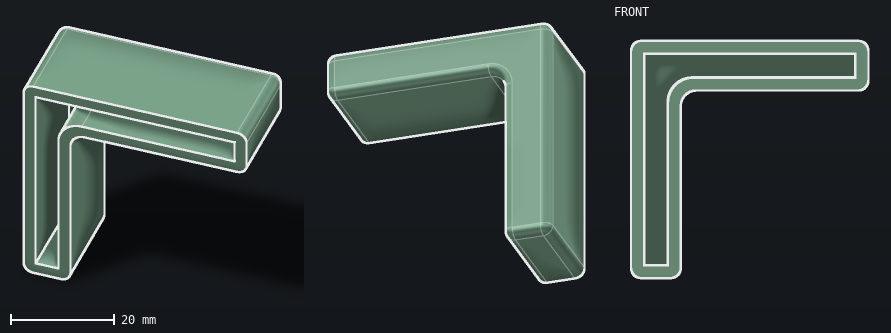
import cadquery as cq
leg_length = 46.0
leg_width = 9.65
depth = 21.0

wall = 2.5
draft_angle = 0.13
cavity_draft_angle = 0.36
cavity_depth = depth - wall

corner_radius = 2.0
notch_radius = 3.0
cavity_notch_radius = 4.85
closed_end_radius = 1.9

pick_reach = 0.45

open_face = cq.Plane(origin=(0, 0, 0), xDir=(1, 0, 0), normal=(0, 1, 0))


def l_corners(inset):
    """Corners of the L moved inward by the inset: first the notch, then the five outer ones in order."""
    near = inset
    inner = leg_width - inset
    far = leg_length - inset
    return [(inner, inner), (inner, far), (near, far), (near, near), (far, near), (far, inner)]


def round_corner(sketch, corner, radius):
    x, y = corner
    at_corner = cq.selectors.BoxSelector(
        (x - pick_reach, y - pick_reach, -pick_reach),
        (x + pick_reach, y + pick_reach, pick_reach),
    )
    return sketch.vertices(at_corner).fillet(radius).reset()


def l_sketch(corners, notch_rounding):
    """L-shaped face with a rounded notch and sharp outer corners."""
    sketch = cq.Sketch().polygon(corners + corners[:1])
    return round_corner(sketch, corners[0], notch_rounding)


def drafted(sketch, length, angle):
    return cq.Workplane(open_face).placeSketch(sketch).extrude(length, taper=angle)


def make_body():
    """Solid L with rounded corners and a rounded edge all around the closed end."""
    corners = l_corners(0)
    sketch = l_sketch(corners, notch_radius)
    for corner in corners[1:]:
        sketch = round_corner(sketch, corner, corner_radius)
    return drafted(sketch, depth, draft_angle).faces(">Y").edges().fillet(closed_end_radius)


def make_cavity():
    """Sharp-cornered L pocket, open at the -Y face and stopping one wall short of the closed end."""
    sketch = l_sketch(l_corners(wall), cavity_notch_radius)
    return drafted(sketch, cavity_depth, cavity_draft_angle)


result = make_body().cut(make_cavity())